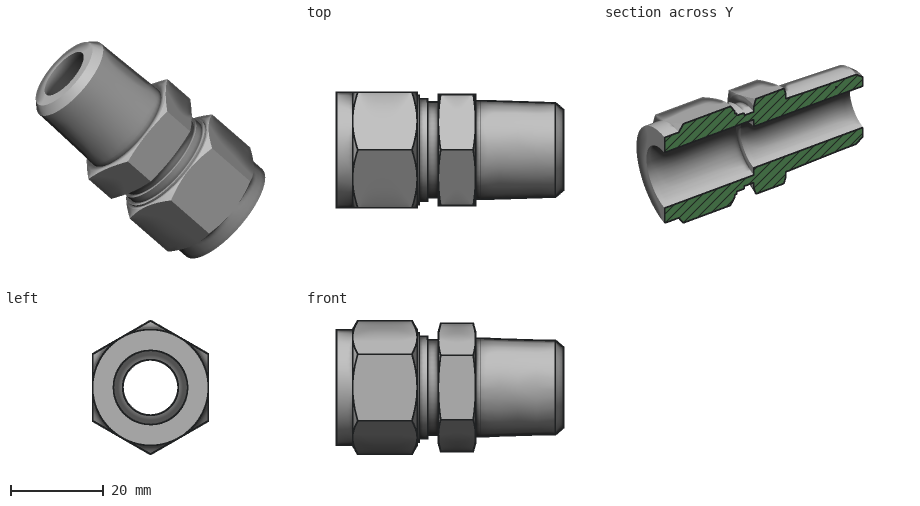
import cadquery as cq
import math

collar_end = 3.5
nut_end = 17.4
washer_end = 17.9
ring_end = 19.7
neck_end = 22.0
body_hex_end = 30.0
shoulder_end = 31.0
total_length = 49.0

nut_across_flats = 25.0
nut_chamfer_angle = 30.0
body_across_flats = 24.0
body_chamfer_angle = 15.0

washer_diameter = 23.7
ring_diameter = 22.2
neck_diameter = 20.7
thread_diameter = 21.34
thread_taper = 1 / 16
tip_chamfer_length = 1.75
tip_chamfer_height = 1.5

tube_diameter = 16.0
tube_depth = 22.0
bore_diameter = 11.9


def cylinder(start, end, diameter):
    """Solid cylinder on the X axis between two stations."""
    plane = cq.Workplane("YZ", origin=(start, 0, 0))
    return plane.circle(diameter / 2).extrude(end - start)


def chamfered_hexagon(start, end, across_flats, chamfer_angle):
    """Hexagonal prism whose corners are cut by a cone at both ends."""
    across_corners = across_flats / math.cos(math.pi / 6)
    prism = (
        cq.Workplane("YZ", origin=(start, 0, 0))
        .transformed(rotate=(0, 0, 90))
        .polygon(6, across_corners)
        .extrude(end - start)
    )
    flat_radius = across_flats / 2
    corner_radius = across_corners / 2
    chamfer_length = (corner_radius - flat_radius) * math.tan(math.radians(chamfer_angle))
    envelope = (
        cq.Workplane("XY")
        .moveTo(start, 0)
        .lineTo(start, flat_radius)
        .lineTo(start + chamfer_length, corner_radius)
        .lineTo(end - chamfer_length, corner_radius)
        .lineTo(end, flat_radius)
        .lineTo(end, 0)
        .close()
        .revolve(360, (0, 0, 0), (1, 0, 0))
    )
    return prism.intersect(envelope)


def tapered_thread():
    """Plain tapered thread envelope with a chamfered tip."""
    taper_end = total_length - tip_chamfer_length
    large_radius = thread_diameter / 2
    small_radius = large_radius - (taper_end - shoulder_end) * thread_taper / 2
    return (
        cq.Workplane("XY")
        .moveTo(body_hex_end, 0)
        .lineTo(body_hex_end, large_radius)
        .lineTo(shoulder_end, large_radius)
        .lineTo(taper_end, small_radius)
        .lineTo(total_length, small_radius - tip_chamfer_height)
        .lineTo(total_length, 0)
        .close()
        .revolve(360, (0, 0, 0), (1, 0, 0))
    )


fitting = cylinder(0, collar_end, nut_across_flats)
fitting = fitting.union(chamfered_hexagon(collar_end, nut_end, nut_across_flats, nut_chamfer_angle))

fitting = fitting.union(cylinder(nut_end, washer_end, washer_diameter))
fitting = fitting.union(cylinder(washer_end, ring_end, ring_diameter))
fitting = fitting.union(cylinder(ring_end, neck_end, neck_diameter))

fitting = fitting.union(chamfered_hexagon(neck_end, body_hex_end, body_across_flats, body_chamfer_angle))
fitting = fitting.union(tapered_thread())

fitting = fitting.cut(cylinder(0, tube_depth, tube_diameter))
fitting = fitting.cut(cylinder(0, total_length, bore_diameter))

result = fitting